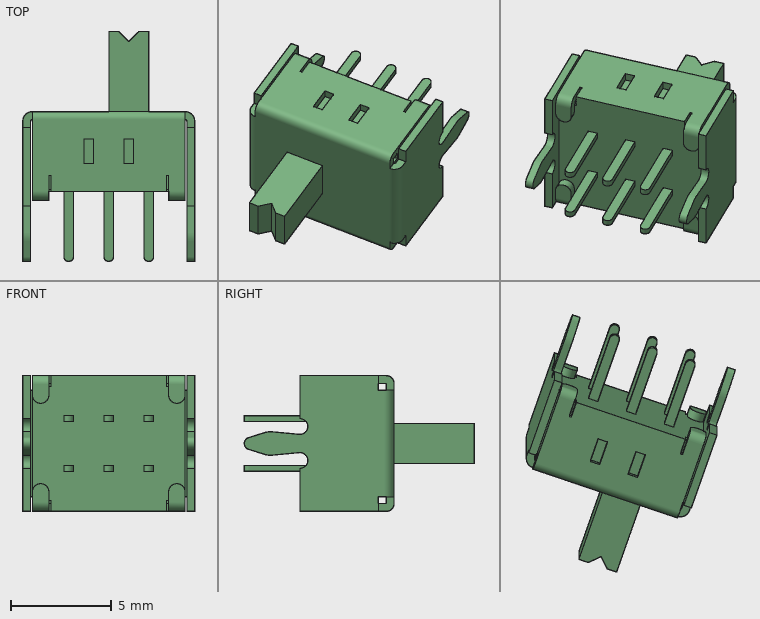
import cadquery as cq
import math


shell_width = 8.6
shell_height = 6.8
sheet = 0.4
side_gap = 0.08
side_plate_length = 4.72
side_bend_radius = sheet + side_gap
relief_length = 0.79
corner_relief_height = 0.74
side_bend_height = shell_height - 2 * corner_relief_height

housing_width = shell_width - 2 * side_bend_radius
housing_depth = 4.0
cover_bend_radius = 0.4

tab_width = 0.83
tab_reach = 1.39
tab_thickness = 0.45
slit_width = 0.1
slit_pocket_depth = 0.55
slit_pocket_length = 0.12

window_width = 0.5
window_length = 1.22
window_start = 1.38
window_offset = 1.0

pin_width = 0.5
pin_thickness = 0.3
pin_pitch = 2.0
row_pitch = 2.5
tip_depth = 7.5

prong_neck = 0.92
prong_shoulder_depth = 6.29
prong_shoulder_radius = 0.98
prong_taper_angle = 17.5
prong_tip_radius = 0.31
relief_radius = 0.39

overall_length = 11.5
actuator_size = 2.0
actuator_offset = actuator_size / 2
actuator_length = overall_length - tip_depth
notch_depth = 0.5


def box(x_range, y_range, z_range):
    """Box between two limits on each axis."""
    (x0, x1), (y0, y1), (z0, z1) = x_range, y_range, z_range
    return cq.Workplane("XY").box(x1 - x0, y1 - y0, z1 - z0, centered=False).translate((x0, y0, z0))


def both_sides(solid, plane):
    """The solid joined with its mirror image."""
    return solid.union(solid.mirror(plane))


def make_housing():
    body = cq.Workplane("XY").box(housing_width, housing_depth, shell_height)
    body = body.translate((0, -housing_depth / 2, 0))
    body = body.edges("|X and >Y").fillet(cover_bend_radius)
    half_width = housing_width / 2
    groove = box(
        (-half_width, half_width),
        (-relief_length, -sheet),
        (side_bend_height / 2, shell_height / 2 - sheet),
    )
    return body.cut(both_sides(groove, "XY"))


def make_windows():
    windows = cq.Workplane("XY")
    for x in (-window_offset, window_offset):
        window = box(
            (x - window_width / 2, x + window_width / 2),
            (-window_start - window_length, -window_start),
            (shell_height / 2 - sheet, shell_height / 2),
        )
        windows = windows.add(both_sides(window, "XY"))
    return windows.combine()


def make_tab():
    """Upper -X tab: a quarter-round bend ending in a semicircle."""
    top = shell_height / 2
    bottom = top - tab_reach
    back = -housing_depth
    outer = back - tab_thickness
    left = -housing_width / 2
    half = tab_width / 2
    bend = (
        cq.Workplane("YZ", origin=(left, 0, 0))
        .moveTo(back, bottom)
        .lineTo(outer, bottom)
        .lineTo(outer, top - tab_thickness)
        .radiusArc((back, top), tab_thickness)
        .close()
        .extrude(tab_width)
    )
    outline = (
        cq.Workplane("XZ", origin=(0, -housing_depth, 0))
        .moveTo(left, top)
        .lineTo(left, bottom + half)
        .threePointArc((left + half, bottom), (left + tab_width, bottom + half))
        .lineTo(left + tab_width, top)
        .close()
        .extrude(tab_thickness)
    )
    return bend.intersect(outline)


def make_slit():
    """Slit beside the upper -X tab, with a small pocket under its open end."""
    start = -housing_width / 2 + tab_width
    x_range = (start, start + slit_width)
    top = shell_height / 2
    back = -housing_depth
    slit = box(x_range, (back, back + relief_length), (top - sheet, top))
    pocket = box(x_range, (back, back + slit_pocket_length), (top - slit_pocket_depth, top))
    return slit.union(pocket)


def make_front_sheet():
    """Front sheet and side plates, folded as a U."""
    half = shell_width / 2
    inner_radius = side_bend_radius - sheet
    outer = (
        cq.Workplane("XY")
        .box(shell_width, side_plate_length, shell_height)
        .translate((0, -side_plate_length / 2, 0))
        .edges("|Z and >Y")
        .fillet(side_bend_radius)
    )
    inner = (
        cq.Workplane("XY")
        .box(shell_width - 2 * sheet, side_plate_length, shell_height)
        .translate((0, -side_plate_length / 2 - sheet, 0))
        .edges("|Z and >Y")
        .fillet(inner_radius)
    )
    corner = box((-half, half), (-relief_length, 0), (side_bend_height / 2, shell_height / 2))
    return outer.cut(inner).cut(both_sides(corner, "XY"))


def make_prong():
    """Prong on the -X side plate: widens to a shoulder, then tapers to a tangent round tip."""
    taper = math.radians(prong_taper_angle)
    neck = prong_neck / 2
    tip_half = prong_tip_radius * math.cos(taper)
    tip_start = tip_depth - prong_tip_radius * (1 - math.sin(taper))
    shoulder = tip_half + (tip_start - prong_shoulder_depth) * math.tan(taper)
    prong = (
        cq.Workplane("YZ", origin=(-shell_width / 2, 0, 0))
        .moveTo(-side_plate_length, neck)
        .lineTo(-prong_shoulder_depth, shoulder)
        .lineTo(-tip_start, tip_half)
        .threePointArc((-tip_depth, 0), (-tip_start, -tip_half))
        .lineTo(-prong_shoulder_depth, -shoulder)
        .lineTo(-side_plate_length, -neck)
        .close()
        .extrude(sheet)
    )
    for widest in (">Z", "<Z"):
        prong = prong.edges("|X").edges(widest).fillet(prong_shoulder_radius)
    return prong


def make_prong_reliefs():
    """Half-round reliefs beside the prongs, through both side plates."""
    offset = prong_neck / 2 + relief_radius
    return (
        cq.Workplane("YZ", origin=(-shell_width / 2, 0, 0))
        .pushPoints([(-side_plate_length, offset), (-side_plate_length, -offset)])
        .circle(relief_radius)
        .extrude(shell_width)
    )


def make_pin(x, z):
    """Flat pin with a full-round tip."""
    pin = box(
        (x - pin_width / 2, x + pin_width / 2),
        (-tip_depth + pin_width / 2, -housing_depth),
        (z - pin_thickness / 2, z + pin_thickness / 2),
    )
    tip = (
        cq.Workplane("XY", origin=(x, -tip_depth + pin_width / 2, z - pin_thickness / 2))
        .circle(pin_width / 2)
        .extrude(pin_thickness)
    )
    return pin.union(tip)


def make_actuator():
    """Square stick with a right-angled V notch across its end."""
    half = actuator_size / 2
    return (
        cq.Workplane("XY", origin=(actuator_offset, 0, -half))
        .polyline([
            (-half, 0),
            (-half, actuator_length),
            (-notch_depth, actuator_length),
            (0, actuator_length - notch_depth),
            (notch_depth, actuator_length),
            (half, actuator_length),
            (half, 0),
        ])
        .close()
        .extrude(actuator_size)
    )


shell = make_front_sheet().cut(make_prong_reliefs()).union(both_sides(make_prong(), "YZ"))
slits = both_sides(both_sides(make_slit(), "YZ"), "XY")
tabs = both_sides(both_sides(make_tab(), "YZ"), "XY")

result = make_housing().cut(make_windows()).cut(slits)
result = result.union(shell).union(tabs).union(make_actuator())
for column in (-1, 0, 1):
    for row in (-0.5, 0.5):
        result = result.union(make_pin(column * pin_pitch, row * row_pitch))